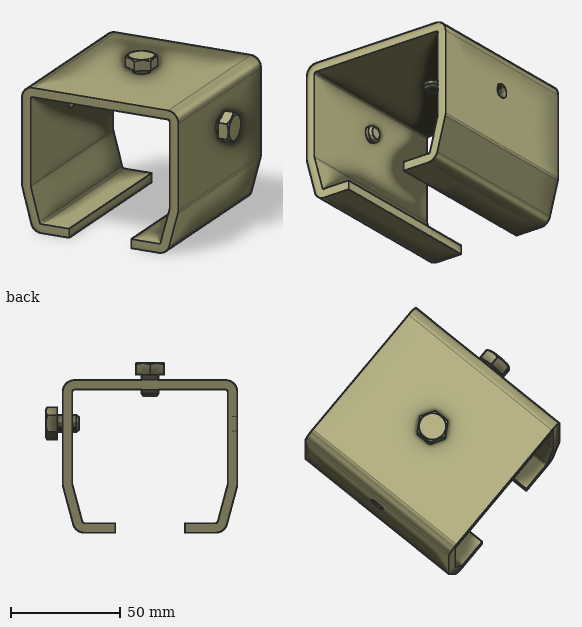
import cadquery as cq
import math

channel_width = 80.0
channel_height = 70.0
channel_length = 85.0
wall = 4.5
outer_bend_radius = 5.4
knee_height = 21.6
knee_angle = 15.0
lip_gap = 31.8

bolt_diameter = 8.0
bolt_length = 10.0
bolt_tip_diameter = 5.7
bolt_tip_length = 1.4
head_sides = 6
head_across_flats = 13.0
head_height = 5.35
head_stand_off = 2.5
head_face_diameter = 12.3
head_chamfer_angle = 30.0
neck_fillet = 0.35
side_bolt_drop = 19.9
pilot_diameter = 6.8

half_width = channel_width / 2
side_bolt_height = channel_height - side_bolt_drop
hex_half_angle = 180 / head_sides


def make_channel():
    half_base = half_width - knee_height * math.tan(math.radians(knee_angle))
    corners = [
        (-half_base, 0),
        (half_base, 0),
        (half_width, knee_height),
        (half_width, channel_height),
        (-half_width, channel_height),
        (-half_width, knee_height),
    ]
    block = (
        cq.Workplane("XZ")
        .polyline(corners)
        .close()
        .extrude(channel_length / 2, both=True)
        .edges("|Y")
        .fillet(outer_bend_radius)
    )
    cavity = (
        block.faces("<Y")
        .wires()
        .toPending()
        .offset2D(-wall)
        .extrude(-channel_length, combine=False)
    )
    lip_opening = cq.Workplane("XY").box(lip_gap, channel_length, 2 * wall)
    return block.cut(cavity).cut(lip_opening)


def make_bolt():
    """Bolt along Z with its tip down and the underside of its head at Z = 0."""
    corner_radius = head_across_flats / 2 / math.cos(math.radians(hex_half_angle))
    face_radius = head_face_diameter / 2
    chamfer_drop = (corner_radius - face_radius) * math.tan(math.radians(head_chamfer_angle))
    hexagon = (
        cq.Workplane("XY")
        .polygon(head_sides, 2 * corner_radius)
        .extrude(head_height)
        .rotate((0, 0, 0), (0, 0, 1), hex_half_angle)
    )
    crown = (
        cq.Workplane("XZ")
        .moveTo(0, 0)
        .lineTo(corner_radius, 0)
        .lineTo(corner_radius, head_height - chamfer_drop)
        .lineTo(face_radius, head_height)
        .lineTo(0, head_height)
        .close()
        .revolve(360, (0, 0), (0, 1))
    )
    bolt_radius = bolt_diameter / 2
    shank = (
        cq.Workplane("XZ")
        .moveTo(0, 0)
        .lineTo(bolt_radius + neck_fillet, 0)
        .radiusArc((bolt_radius, -neck_fillet), -neck_fillet)
        .lineTo(bolt_radius, bolt_tip_length - bolt_length)
        .lineTo(bolt_tip_diameter / 2, -bolt_length)
        .lineTo(0, -bolt_length)
        .close()
        .revolve(360, (0, 0), (0, 1))
    )
    return hexagon.intersect(crown).union(shank)


bolt = make_bolt()
top_bolt = bolt.translate((0, 0, channel_height + head_stand_off))

side_bolt = (
    bolt.rotate((0, 0, 0), (0, 0, 1), 90)
    .rotate((0, 0, 0), (0, 1, 0), 90)
    .translate((half_width + head_stand_off, 0, side_bolt_height))
)

pilot_hole = (
    cq.Workplane("YZ", origin=(-half_width, 0, side_bolt_height))
    .circle(pilot_diameter / 2)
    .extrude(wall)
)

result = make_channel().cut(pilot_hole).union(top_bolt).union(side_bolt)